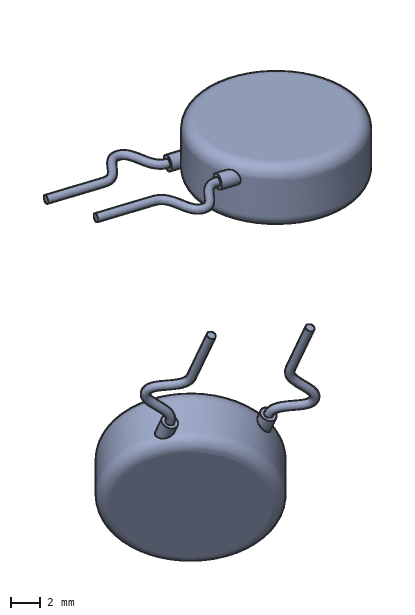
import cadquery as cq

overall_length = 22.5
disc_diameter = 13.0
disc_thickness = 5.0
edge_radius = 1.0
collar_diameter = 1.2
lead_diameter = 0.65
lead_spacing = 7.06
lead_level_spacing = 2.5
kink_offset = 2.5
kink_half_length = 2.5
axis_handle = 1.48
peak_handle = 1.22

disc_radius = disc_diameter / 2
collar_end_y = -disc_radius
collar_length = disc_radius / 2
kink_peak_y = collar_end_y - kink_half_length
kink_end_y = kink_peak_y - kink_half_length
lead_tip_y = disc_radius - overall_length

LEFT = -1
RIGHT = 1


def lead_plane(side):
    """Plane square to the lead axis, at the end face of its collar, facing -Y."""
    origin = (side * lead_spacing / 2, collar_end_y, side * lead_level_spacing / 2)
    return cq.Plane(origin=origin, xDir=(1, 0, 0), normal=(0, -1, 0))


def make_disc():
    bottom = cq.Workplane("XY", origin=(0, 0, -disc_thickness / 2))
    disc = bottom.circle(disc_radius).extrude(disc_thickness)
    return disc.faces("|Z").edges().fillet(edge_radius)


def make_collar(side):
    return cq.Workplane(lead_plane(side)).circle(collar_diameter / 2).extrude(-collar_length)


def make_housing():
    """Coated disc with a collar for each lead, in one piece."""
    housing = make_disc()
    for side in (LEFT, RIGHT):
        housing = housing.union(make_collar(side))
    return housing.solids()


def make_lead(side):
    """Round wire that starts on the collar face, kinks outward and runs straight to its tip."""
    axis_x = side * lead_spacing / 2
    peak_x = axis_x + side * kink_offset
    level = side * lead_level_spacing / 2
    outward_curve = [
        (axis_x, collar_end_y),
        (axis_x, collar_end_y - axis_handle),
        (peak_x, kink_peak_y + peak_handle),
        (peak_x, kink_peak_y),
    ]
    return_curve = [
        (peak_x, kink_peak_y),
        (peak_x, kink_peak_y - peak_handle),
        (axis_x, kink_end_y + axis_handle),
        (axis_x, kink_end_y),
    ]
    path = (
        cq.Workplane("XY", origin=(0, 0, level))
        .moveTo(axis_x, collar_end_y)
        .bezier(outward_curve)
        .bezier(return_curve)
        .lineTo(axis_x, lead_tip_y)
    )
    return cq.Workplane(lead_plane(side)).circle(lead_diameter / 2).sweep(path)


housing = make_housing()
leads = [make_lead(side) for side in (LEFT, RIGHT)]

result = cq.Compound.makeCompound([housing.val(), *[lead.val() for lead in leads]])